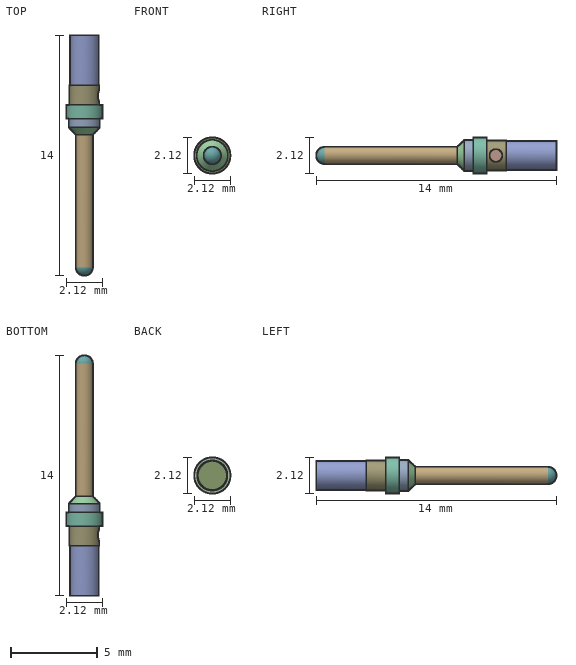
import cadquery as cq


pin_diameter = 1.02
shoulder_diameter = 1.82
collar_diameter = 2.12
neck_diameter = 1.76
barrel_diameter = 1.69
inspection_hole_diameter = 0.74

overall_length = 13.98
barrel_length = 2.92
neck_length = 1.13
collar_length = 0.80
shoulder_length = 0.51
cone_length = 0.42
tip_length = 0.495
inspection_hole_to_collar = 0.52

barrel_end_y = overall_length / 2
neck_start_y = barrel_end_y - barrel_length
collar_back_y = neck_start_y - neck_length
collar_front_y = collar_back_y - collar_length
cone_back_y = collar_front_y - shoulder_length
cone_front_y = cone_back_y - cone_length
tip_y = -overall_length / 2
tip_start_y = tip_y + tip_length

pin_radius = pin_diameter / 2
tip_radius = (pin_radius**2 + tip_length**2) / (2 * tip_length)

inspection_hole_y = collar_back_y + inspection_hole_to_collar
inspection_hole_depth = neck_diameter / 2


def turned_body():
    """Revolve the half profile of the contact about the Y axis."""
    profile = (
        cq.Workplane("XY")
        .moveTo(0, barrel_end_y)
        .lineTo(barrel_diameter / 2, barrel_end_y)
        .lineTo(barrel_diameter / 2, neck_start_y)
        .lineTo(neck_diameter / 2, neck_start_y)
        .lineTo(neck_diameter / 2, collar_back_y)
        .lineTo(collar_diameter / 2, collar_back_y)
        .lineTo(collar_diameter / 2, collar_front_y)
        .lineTo(shoulder_diameter / 2, collar_front_y)
        .lineTo(shoulder_diameter / 2, cone_back_y)
        .lineTo(pin_radius, cone_front_y)
        .lineTo(pin_radius, tip_start_y)
        .radiusArc((0, tip_y), tip_radius)
        .close()
    )
    return profile.revolve(360, (0, 0, 0), (0, 1, 0))


def inspection_hole():
    """Radial drilling from the axis out through the +X side of the neck."""
    return (
        cq.Workplane("YZ")
        .center(inspection_hole_y, 0)
        .circle(inspection_hole_diameter / 2)
        .extrude(inspection_hole_depth)
    )


result = turned_body().cut(inspection_hole())